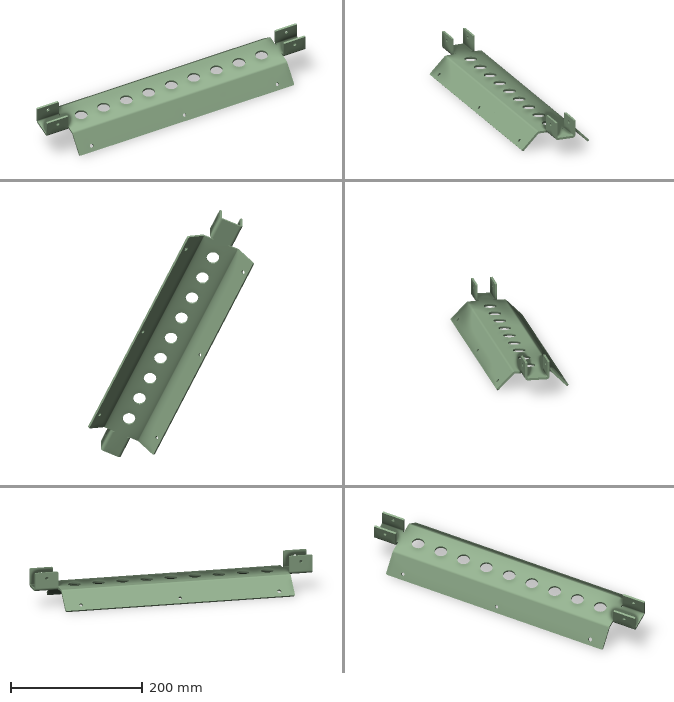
import cadquery as cq
import math

total_length = 438.0
total_width = 112.5
total_height = 54.5
sheet = 3.35

plate_length = 363.0
flange_angle = 45.0
flange_corner_radius = 2.0
flange_bend_radius = 5.0

wall_height = 25.5
front_channel_width = 38.0
rear_channel_width = 33.5
channel_bend_radius = 5.0
relief_width = 1.5
relief_margin = 1.55
wall_corner_radius = 1.5

deck_hole_diameter = 19.3
deck_hole_count = 9
deck_hole_pitch = 38.0
flange_hole_diameter = 5.3
front_flange_hole_diameter = 6.0
flange_hole_x = 50.0
flange_hole_pitch = 157.0
flange_hole_shift = -1.5
wall_hole_diameter = 5.3
wall_hole_drop = 9.0

slope = math.radians(flange_angle)
flange_tip_x = total_width / 2
flange_tip_z = wall_height - total_height + sheet * math.cos(slope)
corner_x = flange_tip_x + flange_tip_z / math.tan(slope)
plate_end = plate_length / 2
wall_length = total_length / 2 - plate_end - relief_width


def round_edge(body, edge_middle, radius):
    """Fillet the single edge whose middle lies at the given point."""
    return body.edges(cq.selectors.NearestToPointSelector(edge_middle)).fillet(radius)


def bent_plate():
    """Deck and flanges as one bent sheet, extruded along Y."""
    inner_corner_x = corner_x - sheet * math.tan(slope / 2)
    inner_tip_x = flange_tip_x - sheet * math.sin(slope)
    inner_tip_z = flange_tip_z - sheet * math.cos(slope)
    outline = [
        (-flange_tip_x, flange_tip_z),
        (-corner_x, 0),
        (corner_x, 0),
        (flange_tip_x, flange_tip_z),
        (inner_tip_x, inner_tip_z),
        (inner_corner_x, -sheet),
        (-inner_corner_x, -sheet),
        (-inner_tip_x, inner_tip_z),
    ]
    plate = cq.Workplane("XZ").polyline(outline).close().extrude(plate_end, both=True)
    tip_x = (flange_tip_x + inner_tip_x) / 2
    tip_z = (flange_tip_z + inner_tip_z) / 2
    for side in (-1, 1):
        plate = round_edge(plate, (side * corner_x, 0, 0), flange_bend_radius)
        plate = round_edge(plate, (side * inner_corner_x, 0, -sheet), flange_bend_radius - sheet)
        for end in (-1, 1):
            plate = round_edge(plate, (side * tip_x, end * plate_end, tip_z), flange_corner_radius)
    return plate


def channel(width, end):
    """U channel at one end of the plate; end is -1 at the front and +1 at the rear."""
    height = wall_height + sheet
    wall_mid_y = end * (total_length / 2 - wall_length / 2)
    middle_z = wall_height - height / 2

    outer = (
        cq.Workplane("XY")
        .box(width, wall_length, height)
        .edges("|Y and <Z")
        .fillet(channel_bend_radius)
    )
    cavity = (
        cq.Workplane("XY")
        .box(width - 2 * sheet, wall_length, height)
        .edges("|Y and <Z")
        .fillet(channel_bend_radius - sheet)
        .translate((0, 0, sheet))
    )
    body = outer.cut(cavity).edges("|X and >Z").fillet(wall_corner_radius)
    body = body.translate((0, wall_mid_y, middle_z))

    wall_hole = (
        cq.Workplane("YZ")
        .center(wall_mid_y, wall_height - wall_hole_drop)
        .circle(wall_hole_diameter / 2)
        .extrude(width, both=True)
    )

    neck_width = width - 2 * (channel_bend_radius + relief_margin)
    neck = cq.Workplane("XY").box(neck_width, 2 * relief_width, sheet)
    neck = neck.translate((0, end * (plate_end + relief_width), -sheet / 2))
    return body.cut(wall_hole).union(neck)


def deck_holes():
    """Row of large lightening holes down the middle of the deck."""
    return (
        cq.Workplane("XY")
        .rarray(4.5, deck_hole_pitch, 1, deck_hole_count)
        .circle(deck_hole_diameter / 2)
        .extrude(sheet, both=True)
    )


def flange_holes(side):
    """Three small holes square to one flange; side is -1 or +1 along X."""
    hole_z = (corner_x - flange_hole_x) * math.tan(slope)
    face = cq.Plane(
        origin=(side * flange_hole_x, 0, hole_z),
        xDir=(0, 1, 0),
        normal=(side * math.sin(slope), 0, math.cos(slope)),
    )
    tools = cq.Workplane(face)
    for step in (-1, 0, 1):
        diameter = front_flange_hole_diameter if step == -1 else flange_hole_diameter
        hole = cq.Workplane(face).center(step * flange_hole_pitch + flange_hole_shift, 0)
        tools = tools.union(hole.circle(diameter / 2).extrude(2 * sheet, both=True))
    return tools


result = bent_plate()
result = result.union(channel(front_channel_width, -1))
result = result.union(channel(rear_channel_width, 1))
result = result.cut(deck_holes())
for side in (-1, 1):
    result = result.cut(flange_holes(side))